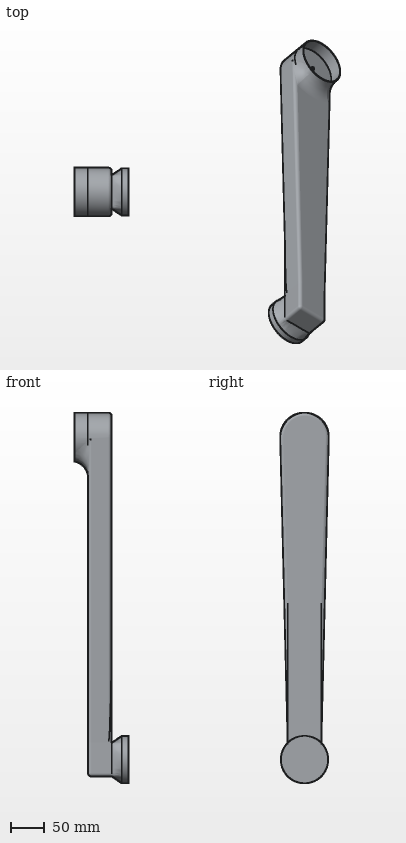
import cadquery as cq
import math

link_length = 475.0
head_radius = 36.0
joint_radius = 35.0
cup_depth = 20.0
arm_back = cup_depth
arm_front = 55.0
foot_width = 50.0
edge_radius = 5.0
blend_radius = 24.0
puck_start = 70.0
puck_end = 80.0
center_hole_radius = 2.5
center_hole_depth = 5.0
corner_arc_half_angle = 2.0
blend_bite = 0.01
blend_burial = 1.7
blend_last_turn = 86.0
blend_steps = 8

half_foot = foot_width / 2
half_flat = half_foot - edge_radius
arm_depth = arm_front - arm_back
side_slope = (head_radius - half_foot) / (link_length - half_foot)

ball_orbit = head_radius + blend_radius
ball_to_edge_axis = blend_radius + edge_radius
edge_axis_y = head_radius - edge_radius
edge_axis_x = arm_back + edge_radius


def x_cylinder(radius, z, start, end):
    return cq.Workplane("YZ", origin=(start, 0, z)).circle(radius).extrude(end - start)


def make_head():
    head = x_cylinder(head_radius, link_length, 0, arm_front)
    return head.faces(">X").edges().fillet(edge_radius)


def make_arm():
    """Tapered arm with its four long edges rounded."""
    arm = (
        cq.Workplane("YZ", origin=(arm_back, 0, 0))
        .moveTo(-half_foot, half_foot)
        .lineTo(-head_radius, link_length)
        .lineTo(head_radius, link_length)
        .lineTo(half_foot, half_foot)
        .close()
        .extrude(arm_depth)
    )
    return arm.faces("<X or >X").edges("not |Y").fillet(edge_radius)


def make_foot():
    """Square column with a sharp front, running up inside the arm."""
    foot = (
        cq.Workplane("YZ", origin=(arm_back, 0, 0))
        .moveTo(-half_foot, -half_foot)
        .lineTo(half_foot, -half_foot)
        .lineTo(half_foot, link_length)
        .lineTo(-half_foot, link_length)
        .close()
        .extrude(arm_depth)
    )
    foot = foot.edges("|X and <Z").fillet(edge_radius)
    return foot.faces("<X").edges("not >Z").fillet(edge_radius)


def quarter_turned(y, z, quarters):
    for _ in range(quarters):
        y, z = -z, y
    return (y, z)


def rim_point(angle):
    a = math.radians(angle)
    return (joint_radius * math.cos(a), joint_radius * math.sin(a))


def make_transition():
    """Ruled shape from a rounded square on the foot to the round puck."""
    corner_middle = half_flat + edge_radius * math.sqrt(0.5)
    square = cq.Workplane("YZ", origin=(arm_front, 0, 0)).moveTo(half_foot, -half_flat)
    rim = cq.Workplane("YZ", origin=(puck_start, 0, 0)).moveTo(*rim_point(corner_arc_half_angle - 45))
    for quarter in range(4):
        side = 90 * quarter
        corner = side + 45
        square = square.lineTo(*quarter_turned(half_foot, half_flat, quarter))
        square = square.threePointArc(
            quarter_turned(corner_middle, corner_middle, quarter),
            quarter_turned(half_flat, half_foot, quarter),
        )
        rim = rim.threePointArc(rim_point(side), rim_point(corner - corner_arc_half_angle))
        rim = rim.threePointArc(rim_point(corner), rim_point(corner + corner_arc_half_angle))
    return cq.Workplane(cq.Solid.makeLoft([square.close().val(), rim.close().val()], True))


def ball_center(turn):
    """Ball centre, from the upper axis, when it touches the edge `turn` radians round from the back."""
    y_at_axis = edge_axis_y + ball_to_edge_axis * math.sin(turn)
    a = 1 + side_slope**2
    b = y_at_axis * side_slope
    c = y_at_axis**2 - ball_orbit**2
    drop = (b + math.sqrt(b**2 - a * c)) / a
    x = edge_axis_x - ball_to_edge_axis * math.cos(turn)
    return (x, y_at_axis - side_slope * drop, -drop)


def blend_section(turn):
    """Slice of the blend between the cup, the ball and the arm's rounded edge."""
    x, y, z = ball_center(turn)
    center = cq.Vector(x, y, z)
    to_cup = cq.Vector(0, -y, -z).normalized()
    tilt = math.atan(side_slope)
    to_edge = cq.Vector(
        math.cos(turn),
        -math.sin(turn) * math.cos(tilt),
        math.sin(turn) * math.sin(tilt),
    )
    between = (to_cup + to_edge).normalized()
    reach = blend_radius + blend_bite
    on_cup = center + to_cup * reach
    on_ball = center + between * reach
    on_edge = center + to_edge * reach
    buried = center + between * reach * blend_burial
    return cq.Wire.assembleEdges([
        cq.Edge.makeThreePointArc(on_cup, on_ball, on_edge),
        cq.Edge.makeLine(on_edge, buried),
        cq.Edge.makeLine(buried, on_cup),
    ])


def make_blend_parts():
    """Ring-shaped stretch under the cup and its two run-outs round the arm's edges."""
    _, y, z = ball_center(0)
    sweep = 2 * math.degrees(math.atan2(y, -z))
    under = cq.Solid.revolve(blend_section(0), [], sweep, cq.Vector(0, 0, 0), cq.Vector(-1, 0, 0))
    last_turn = math.radians(blend_last_turn)
    sections = [blend_section(last_turn * i / blend_steps) for i in range(blend_steps + 1)]
    side = cq.Solid.makeLoft(sections)
    room_size = 4 * head_radius + 2 * blend_radius
    room = cq.Workplane("XY").box(arm_front, room_size, room_size).translate((arm_front / 2, 0, 0))
    parts = (under, side, side.mirror("XZ"))
    return [cq.Workplane(part).intersect(room).translate((0, 0, link_length)) for part in parts]


def make_link():
    body = make_head().union(make_arm()).union(make_foot()).union(make_transition())
    for part in make_blend_parts():
        body = body.union(part, clean=False)
    body = body.cut(x_cylinder(joint_radius, link_length, 0, cup_depth), clean=False)
    center_hole = x_cylinder(center_hole_radius, link_length, cup_depth, cup_depth + center_hole_depth)
    return body.cut(center_hole, clean=False)


def make_puck():
    return x_cylinder(joint_radius, 0, puck_start, puck_end)


link = make_link()
puck = make_puck()
result = cq.Compound.makeCompound([link.solids().val(), puck.val()])